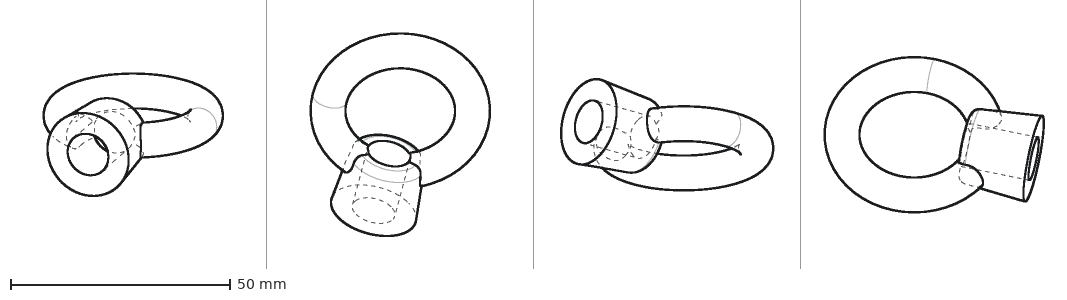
import cadquery as cq
import math

ring_outer_diameter = 41.0
ring_bar_diameter = 8.0
ring_outer_radius = ring_outer_diameter / 2
ring_bar_radius = ring_bar_diameter / 2
ring_path_radius = ring_outer_radius - ring_bar_radius

overall_length = 48.5
hub_length = 16.0
hub_base_diameter = 20.0
hub_taper_degrees = 5.0
hub_edge_radius = 2.0
bore_diameter = 10.0
hub_base_y = ring_outer_radius - overall_length
hub_base_radius = hub_base_diameter / 2
hub_top_radius = hub_base_radius - hub_length * math.tan(math.radians(hub_taper_degrees))


def make_ring():
    return cq.Workplane("XY").add(cq.Solid.makeTorus(ring_path_radius, ring_bar_radius))


def make_hub():
    """Solid cone frustum, rounded at its narrow end inside the ring."""
    cone = cq.Solid.makeCone(
        hub_base_radius,
        hub_top_radius,
        hub_length,
        pnt=cq.Vector(0, hub_base_y, 0),
        dir=cq.Vector(0, 1, 0),
    )
    return cq.Workplane("XY").add(cone).faces(">Y").edges().fillet(hub_edge_radius)


def make_bore():
    """Cylinder through the hub and the near side of the ring, ending in the ring's opening."""
    bore = cq.Solid.makeCylinder(
        bore_diameter / 2,
        -hub_base_y,
        pnt=cq.Vector(0, hub_base_y, 0),
        dir=cq.Vector(0, 1, 0),
    )
    return cq.Workplane("XY").add(bore)


result = make_ring().union(make_hub()).cut(make_bore())